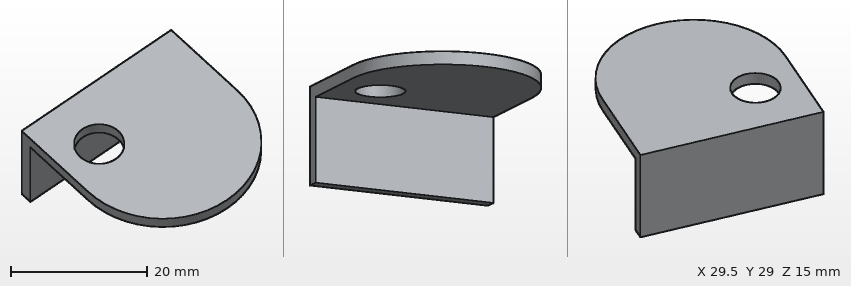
import cadquery as cq

length = 29.5
width = 29.0
height = 15.0
thickness = 2.0
hole_diameter = 7.4
hole_x = 9.3
hole_y = -7.43

end_radius = width / 2
straight_length = length - end_radius


def make_plate():
    """Horizontal plate with a semicircular free end."""
    return (
        cq.Workplane("XY", origin=(0, 0, height - thickness))
        .moveTo(0, -end_radius)
        .lineTo(straight_length, -end_radius)
        .threePointArc((length, 0), (straight_length, end_radius))
        .lineTo(0, end_radius)
        .close()
        .extrude(thickness)
    )


def make_flange():
    """Vertical flange hanging from the straight edge of the plate."""
    return cq.Workplane("XY").box(thickness, width, height, centered=(False, True, False))


def make_hole():
    """Cutter for the round hole through the plate."""
    return cq.Workplane("XY").center(hole_x, hole_y).circle(hole_diameter / 2).extrude(height)


result = make_plate().union(make_flange()).cut(make_hole())